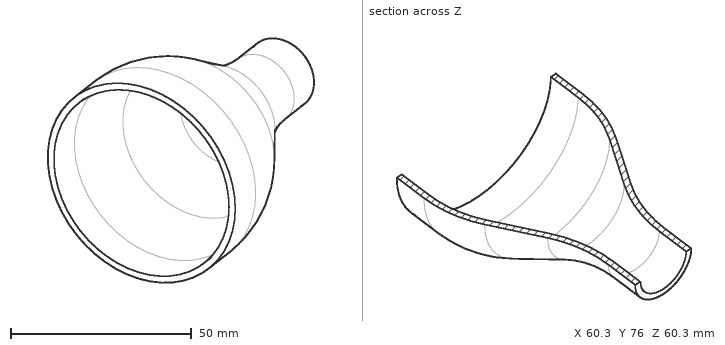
import cadquery as cq
import math

large_diameter = 60.3
small_diameter = 21.3
wall = 2.0
length = 76.0
collar_length = 11.0
bend_radius = 38.0

large_radius = large_diameter / 2
small_radius = small_diameter / 2

half_run = length / 2 - collar_length
half_drop = (large_radius - small_radius) / 2
centre_distance = math.hypot(half_run, bend_radius - half_drop)
cone_angle = math.asin(bend_radius / centre_distance) - math.atan2(bend_radius - half_drop, half_run)

large_bend_centre = (large_radius - bend_radius, collar_length)
small_bend_centre = (small_radius + bend_radius, length - collar_length)


def bend_point(centre, radius, angle):
    """Point on a bend; a negative radius lies on the axis side of the centre."""
    return (centre[0] + radius * math.cos(angle), centre[1] + radius * math.sin(angle))


def reducer_body(inset):
    """Solid of revolution whose surface lies `inset` inside the outer surface."""
    large_bend = bend_radius - inset
    small_bend = -(bend_radius + inset)
    profile = (
        cq.Workplane("XY")
        .lineTo(large_radius - inset, 0)
        .lineTo(*bend_point(large_bend_centre, large_bend, 0))
        .threePointArc(
            bend_point(large_bend_centre, large_bend, cone_angle / 2),
            bend_point(large_bend_centre, large_bend, cone_angle),
        )
        .lineTo(*bend_point(small_bend_centre, small_bend, cone_angle))
        .threePointArc(
            bend_point(small_bend_centre, small_bend, cone_angle / 2),
            bend_point(small_bend_centre, small_bend, 0),
        )
        .lineTo(small_radius - inset, length)
        .lineTo(0, length)
        .close()
    )
    return profile.revolve(360, (0, 0, 0), (0, 1, 0))


result = reducer_body(0).cut(reducer_body(wall))